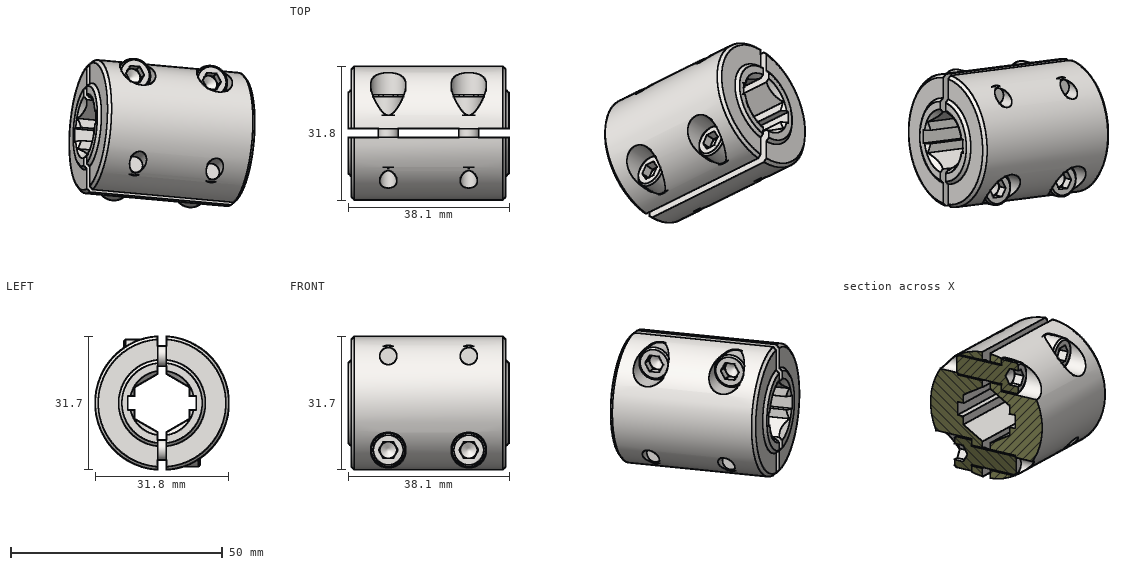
import cadquery as cq
import math


overall_length = 38.1
outer_diameter = 31.75
hub_projection = 0.762
body_chamfer = 0.762
hub_diameter = 20.55
split_gap = 2.08
shell_length = overall_length - 2 * hub_projection

hex_flats = 12.95
bore_mouth_diameter = 15.3
bore_mouth_depth = 1.2
key_width = 3.25
key_span = 16.15

screw_spacing = 19.05
screw_height = 11.115
shank_diameter = 4.826
screw_length = 12.7
head_diameter = 7.94
head_length = 4.826
head_chamfer = 0.45
socket_flats = 3.97
socket_depth = 2.4
socket_cone_angle = 118

seat_distance = 4.21
counterbore_diameter = 8.38
clearance_diameter = 5.11
tap_drill_diameter = 4.04
bore_floor_distance = 8.08

screw_positions = (-screw_spacing / 2, screw_spacing / 2)
cut_length = outer_diameter


def hex_circumscribed(flats):
    return flats / math.cos(math.pi / 6)


def rod(diameter, x, z, y_start, y_end):
    """Cylinder along Y between two Y positions."""
    return cq.Workplane(
        cq.Solid.makeCylinder(diameter / 2, y_end - y_start, cq.Vector(x, y_start, z), cq.Vector(0, 1, 0))
    )


def coupling_blank():
    """Turned outside: chamfered shell with a fully bevelled hub ring on each end."""
    shell = cq.Workplane("YZ").circle(outer_diameter / 2).extrude(shell_length / 2, both=True)
    shell = shell.faces("<X or >X").chamfer(body_chamfer)
    hub = cq.Workplane("YZ").circle(hub_diameter / 2).extrude(overall_length / 2, both=True)
    hub = hub.faces("<X or >X").chamfer(hub_projection)
    return shell.union(hub)


def shaft_bore():
    """Hexagonal bore with its corners on Z, two keyways on Y and a conical mouth at each end."""
    bore = (
        cq.Workplane("YZ")
        .transformed(rotate=(0, 0, 90))
        .polygon(6, hex_circumscribed(hex_flats))
        .extrude(overall_length / 2, both=True)
    )
    keyways = cq.Workplane("XY").box(overall_length, key_span, key_width)
    mouth_profile = [
        (0, 0),
        (0, bore_mouth_diameter / 2),
        (bore_mouth_depth, hex_flats / 2),
        (bore_mouth_depth, 0),
    ]
    mouth = (
        cq.Workplane("XY")
        .polyline(mouth_profile)
        .close()
        .revolve(360, (0, 0, 0), (1, 0, 0))
        .translate((-overall_length / 2, 0, 0))
    )
    return bore.union(keyways).union(mouth).union(mouth.mirror("YZ"))


def make_half_shell():
    """Half on the +Y side: counterbored holes above, stepped holes for the screw tips below."""
    half_space = cq.Workplane("XY").box(overall_length, outer_diameter, outer_diameter)
    half_space = half_space.translate((0, (outer_diameter + split_gap) / 2, 0))
    half = coupling_blank().cut(shaft_bore()).intersect(half_space)
    for x in screw_positions:
        half = half.cut(rod(clearance_diameter, x, screw_height, 0, cut_length))
        half = half.cut(rod(counterbore_diameter, x, screw_height, seat_distance, cut_length))
        half = half.cut(rod(clearance_diameter, x, -screw_height, 0, bore_floor_distance))
        half = half.cut(rod(tap_drill_diameter, x, -screw_height, 0, cut_length))
    return half


def make_screw(x):
    """Cap screw with its head on the +Y side, and a reduced tip that fills the tap drilled hole."""
    head_top = seat_distance + head_length
    head = rod(head_diameter, x, screw_height, seat_distance, head_top).faces(">Y").chamfer(head_chamfer)
    screw = head.union(rod(shank_diameter, x, screw_height, -bore_floor_distance, seat_distance))
    tip_end = seat_distance - screw_length
    screw = screw.union(rod(tap_drill_diameter, x, screw_height, tip_end, seat_distance))

    face = cq.Workplane("XZ", origin=(x, head_top, screw_height))
    socket = face.polygon(6, hex_circumscribed(socket_flats)).extrude(socket_depth)
    cone_depth = socket_flats / 2 / math.tan(math.radians(socket_cone_angle / 2))
    socket_tip = cq.Workplane(
        cq.Solid.makeCone(
            socket_flats / 2,
            0,
            cone_depth,
            cq.Vector(x, head_top - socket_depth, screw_height),
            cq.Vector(0, -1, 0),
        )
    )
    return screw.cut(socket).cut(socket_tip)


def turned_over(body):
    """Copy of a body turned half a turn about the coupling axis."""
    return body.rotate((0, 0, 0), (1, 0, 0), 180)


half_shell = make_half_shell()
bodies = [half_shell, turned_over(half_shell)]
for position in screw_positions:
    screw = make_screw(position)
    bodies += [screw, turned_over(screw)]

result = cq.Compound.makeCompound([body.val() for body in bodies])